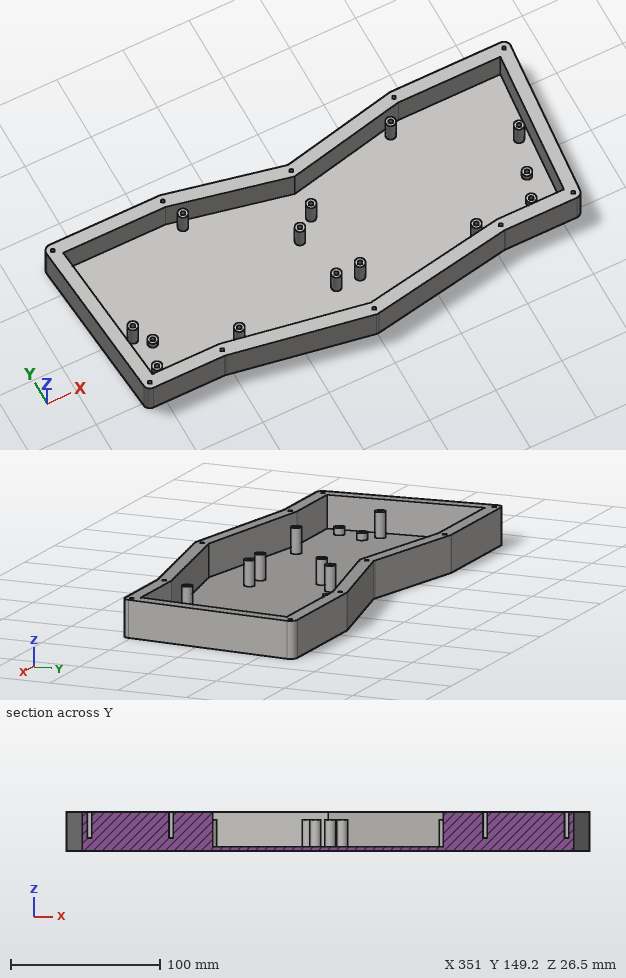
import cadquery as cq

length = 351.0
width = 149.2
height = 26.5
floor_thickness = 3.0

wall_half_thickness = 5.0
corner_radius = wall_half_thickness

back_corner_x = length / 2 - wall_half_thickness
back_edge_y = width / 2 - wall_half_thickness
back_bend_x = 87.5
back_notch_y = 51.0
front_corner_x = 160.0
front_bend_x = 105.3
front_edge_y = -51.3
front_tip_y = -back_edge_y

rim_hole_diameter = 2.6
rim_hole_depth = 17.5

standoff_diameter = 7.5
standoff_bore_diameter = 3.2
tall_standoff_height = 18.0
short_standoff_height = 5.0
tall_standoffs = [
    (-78.3, 58.0),
    (78.3, 57.0),
    (1.5, 25.0),
    (-13.7, 12.0),
    (-8.5, -31.0),
    (9.5, -31.0),
    (153.5, 14.7),
    (-148.5, -4.2),
    (-85.5, -38.3),
    (92.5, -40.0),
]
short_standoffs = [
    (-138.0, -13.0),
    (145.0, -13.0),
    (-145.0, -32.5),
    (138.0, -32.5),
]


def wall_bends():
    """Corners of the wall centre line, counterclockwise from the front tip."""
    right_side = [
        (front_bend_x, front_edge_y),
        (front_corner_x, front_edge_y),
        (back_corner_x, back_edge_y),
        (back_bend_x, back_edge_y),
    ]
    left_side = [(-x, y) for x, y in reversed(right_side)]
    return [(0, front_tip_y)] + right_side + [(0, back_notch_y)] + left_side


def offset_outline(base_z, distance):
    """Centre line moved outward by distance, with sharp corners."""
    centre_line = cq.Workplane("XY", origin=(0, 0, base_z)).polyline(wall_bends()).close()
    return centre_line.offset2D(distance, "intersection")


def make_shell():
    """Tray with rounded outer corners and a sharp-cornered cavity."""
    body = offset_outline(0, wall_half_thickness).extrude(height)
    body = body.edges("|Z").fillet(corner_radius)
    cavity = offset_outline(floor_thickness, -wall_half_thickness).extrude(height - floor_thickness)
    return body.cut(cavity)


def make_rim_holes():
    """Blind screw holes, one at each bend of the wall."""
    return (
        cq.Workplane("XY", origin=(0, 0, height))
        .pushPoints(wall_bends())
        .circle(rim_hole_diameter / 2)
        .extrude(-rim_hole_depth)
    )


def make_pins(points, diameter, pin_height):
    """Round pins standing on the cavity floor."""
    return (
        cq.Workplane("XY", origin=(0, 0, floor_thickness))
        .pushPoints(points)
        .circle(diameter / 2)
        .extrude(pin_height)
    )


result = make_shell().cut(make_rim_holes())
standoff_groups = [
    (tall_standoffs, tall_standoff_height),
    (short_standoffs, short_standoff_height),
]
for centres, standoff_height in standoff_groups:
    posts = make_pins(centres, standoff_diameter, standoff_height)
    bores = make_pins(centres, standoff_bore_diameter, standoff_height)
    result = result.union(posts).cut(bores)